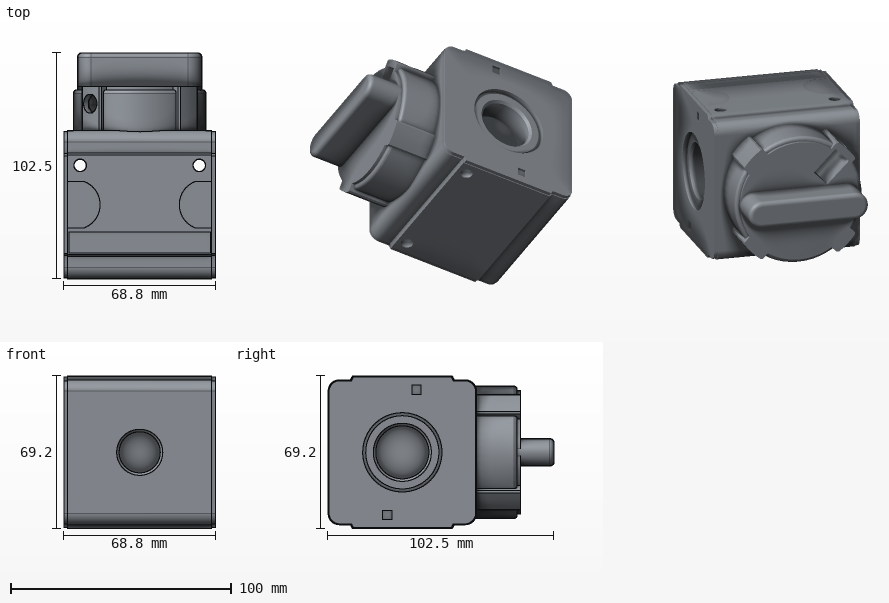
import cadquery as cq

TOTAL_LENGTH = 102.5
TOTAL_WIDTH = 68.8
TOTAL_HEIGHT = 69.2

BODY_LENGTH = 67.2
BODY_CENTRE_Y = BODY_LENGTH / 2
PLATE_THICKNESS = 1.7
CORE_WIDTH = TOTAL_WIDTH - 2 * PLATE_THICKNESS
PLATE_INSET = 0.4
CORNER_RADIUS = 5.1
LAND_LENGTH = 47.0
LAND_RISE = 1.7
LAND_SLOPE_RUN = 0.9
TOP_Z = TOTAL_HEIGHT / 2

SIDE_BORE_DIAMETER = 24.1
SIDE_BORE_DEPTH = 11.2
FRONT_BORE_DIAMETER = 18.7
FRONT_BORE_DEPTH = 12.3
PORT_CHAMFER = 1.1
RING_OUTER_DIAMETER = 36.0
RING_INNER_DIAMETER = 33.2
RING_DEPTH = 2.6
SEAT_DEPTH = PLATE_THICKNESS

POCKET_SIZE = 4.2
POCKET_DEPTH = 1.0
POCKET_CENTRES = [(40.1, 28.4), (26.8, -28.4)]

MOUNT_HOLE_DIAMETER = 5.5
MOUNT_HOLE_SPACING = 54.0
MOUNT_HOLE_Y = 51.5
PAD_RADIUS = 11.3
PAD_WIDTH = 21.2
PAD_TIP_X = 17.9
PAD_DEPTH = 0.1
LABEL_WIDTH = 64.2
LABEL_START_Y = 11.7
LABEL_END_Y = 21.2
LABEL_DEPTH = 0.3

BARREL_RADIUS = 30.0
BARREL_END_Y = 85.7
BARREL_FILLET = 1.5
NECK_RADIUS = 28.0
NECK_END_Y = 87.2
RIB_RADIUS = 32.0
RIB_WIDTH = 12.2
RIB_CHAMFER = 0.7
RIB_HOLE_DIAMETER = 8.5
RIB_HOLE_Y = 79.4
RIB_HOLE_DEPTH = 3.6
RIB_SLOT_WIDTH = 8.9
RIB_SLOT_BOTTOM_RADIUS = 13.8
RIB_SLOT_ROUND_Y = 78.7

KNOB_WIDTH = 56.4
KNOB_HEIGHT = 12.4
KNOB_FILLET = 2.0


def block(inset, width):
    """Round-cornered body profile with a raised land above and below, shrunk by inset."""
    length = BODY_LENGTH - 2 * inset
    height = TOTAL_HEIGHT - 2 * inset
    shoulder_z = height / 2 - LAND_RISE
    base = (
        cq.Workplane("XY").box(width, length, 2 * shoulder_z)
        .edges("|X").fillet(CORNER_RADIUS - inset)
    )
    foot_y = LAND_LENGTH / 2 - inset
    crest_y = foot_y - LAND_SLOPE_RUN
    land = (
        cq.Workplane("YZ", origin=(-width / 2, 0, 0))
        .polyline([
            (-foot_y, shoulder_z), (-crest_y, height / 2), (crest_y, height / 2), (foot_y, shoulder_z),
            (foot_y, -shoulder_z), (crest_y, -height / 2), (-crest_y, -height / 2), (-foot_y, -shoulder_z),
        ])
        .close().extrude(width)
    )
    return base.union(land).translate((0, BODY_CENTRE_Y, 0))


def rod_y(radius, start, end):
    """Cylinder along Y through the bore axis height."""
    return cq.Workplane("XZ", origin=(0, start, 0)).circle(radius).extrude(start - end)


def port(diameter, depth):
    """Cutter for a blind bore with a countersunk mouth, sunk along -Z from the origin."""
    radius = diameter / 2
    bore = cq.Workplane("XY").circle(radius).extrude(-depth)
    mouth = (
        cq.Workplane("XY").circle(radius + PORT_CHAMFER)
        .workplane(offset=-PORT_CHAMFER).circle(radius).loft()
    )
    return bore.union(mouth)


def side_cutter():
    """Sunk port, ring groove and square pockets of the -X end plate."""
    groove = (
        cq.Workplane("XY").circle(RING_OUTER_DIAMETER / 2).circle(RING_INNER_DIAMETER / 2)
        .extrude(-RING_DEPTH)
    )
    seat = cq.Workplane("XY").circle(RING_OUTER_DIAMETER / 2).extrude(-SEAT_DEPTH)
    sunk_port = port(SIDE_BORE_DIAMETER, SIDE_BORE_DEPTH).translate((0, 0, -SEAT_DEPTH))
    on_side = (
        sunk_port.union(seat).union(groove)
        .rotate((0, 0, 0), (0, 1, 0), -90)
        .translate((-TOTAL_WIDTH / 2, BODY_CENTRE_Y, 0))
    )
    for y, z in POCKET_CENTRES:
        pocket = cq.Workplane("XY").box(2 * POCKET_DEPTH, POCKET_SIZE, POCKET_SIZE)
        on_side = on_side.union(pocket.translate((-TOTAL_WIDTH / 2, y, z)))
    return on_side


def front_cutter():
    """Port in the middle of the front face."""
    return port(FRONT_BORE_DIAMETER, FRONT_BORE_DEPTH).rotate((0, 0, 0), (1, 0, 0), 90)


def mount_holes():
    """Pair of through holes along Z."""
    return (
        cq.Workplane("XY", origin=(0, MOUNT_HOLE_Y, -TOP_Z))
        .rarray(MOUNT_HOLE_SPACING, 1, 2, 1)
        .circle(MOUNT_HOLE_DIAMETER / 2).extrude(TOTAL_HEIGHT)
    )


def pad_cutter():
    """Shallow round-ended pad at the -X edge of the top face."""
    edge_x = CORE_WIDTH / 2
    disc = cq.Workplane("XY").center(-PAD_TIP_X - PAD_RADIUS, 0).circle(PAD_RADIUS).extrude(-PAD_DEPTH)
    strip = (
        cq.Workplane("XY").center(-(edge_x + PAD_TIP_X) / 2, 0).rect(edge_x - PAD_TIP_X, PAD_WIDTH)
        .extrude(-PAD_DEPTH)
    )
    return disc.intersect(strip).translate((0, BODY_CENTRE_Y, TOP_Z))


def label_cutter():
    """Shallow rectangular label recess in the top face."""
    return (
        cq.Workplane("XY", origin=(0, (LABEL_START_Y + LABEL_END_Y) / 2, TOP_Z))
        .rect(LABEL_WIDTH, LABEL_END_Y - LABEL_START_Y).extrude(-LABEL_DEPTH)
    )


def barrel():
    """Barrel with its neck and the four ribs at 45 degrees to the axes."""
    drum = rod_y(BARREL_RADIUS, BODY_CENTRE_Y, BARREL_END_Y).faces(">Y").edges().fillet(BARREL_FILLET)
    turned = drum.union(rod_y(NECK_RADIUS, BODY_CENTRE_Y, NECK_END_Y))
    rib_length = NECK_END_Y - BODY_CENTRE_Y
    cross_arm = (
        cq.Workplane("XY").box(2 * RIB_RADIUS, rib_length, RIB_WIDTH)
        .translate((0, BODY_CENTRE_Y + rib_length / 2, 0))
        .intersect(rod_y(RIB_RADIUS, BODY_CENTRE_Y, NECK_END_Y))
        .edges("|Y").chamfer(RIB_CHAMFER)
    )
    for angle in (45, 135):
        turned = turned.union(cross_arm.rotate((0, 0, 0), (0, 1, 0), angle))
    return turned


def rib_cutter():
    """Radial hole in the upper -X rib that opens into a wider slot, open at the neck end."""
    hole = (
        cq.Workplane("XY", origin=(0, RIB_HOLE_Y, RIB_SLOT_BOTTOM_RADIUS))
        .circle(RIB_HOLE_DIAMETER / 2).extrude(RIB_RADIUS)
    )
    half_width = RIB_SLOT_WIDTH / 2
    slot_height = RIB_RADIUS - RIB_HOLE_DEPTH - RIB_SLOT_BOTTOM_RADIUS
    slot = (
        cq.Workplane("XY", origin=(0, 0, RIB_SLOT_BOTTOM_RADIUS))
        .moveTo(half_width, NECK_END_Y)
        .lineTo(-half_width, NECK_END_Y)
        .lineTo(-half_width, RIB_SLOT_ROUND_Y)
        .threePointArc((0, RIB_SLOT_ROUND_Y - half_width), (half_width, RIB_SLOT_ROUND_Y))
        .close()
        .extrude(slot_height)
    )
    return hole.union(slot).rotate((0, 0, 0), (0, 1, 0), -45)


def knob():
    """Flat knob and its shank, reaching back from inside the body."""
    return (
        cq.Workplane("XZ", origin=(0, BODY_CENTRE_Y, 0)).slot2D(KNOB_WIDTH, KNOB_HEIGHT)
        .extrude(BODY_CENTRE_Y - TOTAL_LENGTH)
        .faces(">Y").edges().fillet(KNOB_FILLET)
    )


result = block(0, CORE_WIDTH).union(block(PLATE_INSET, TOTAL_WIDTH))
result = result.union(barrel()).cut(rib_cutter()).union(knob())
for cutter in (side_cutter(), pad_cutter()):
    result = result.cut(cutter).cut(cutter.mirror("YZ"))
result = result.cut(front_cutter()).cut(mount_holes()).cut(label_cutter())